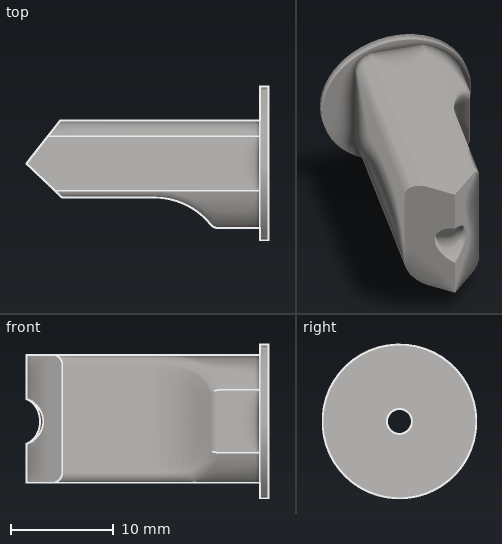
import cadquery as cq
import math

length = 23.6
flange_diameter = 15.0
flange_thickness = 0.85
body_length = length - flange_thickness
body_radius = 7.0

top_z = 6.5
bottom_z = -6.0
back_y = 4.2
front_y = -6.3
back_corner_radius = 2.0

back_slope_length = 3.3
front_slope_length = 3.5

blade_front_y = -3.33
scoop_start_x = 12.48
scoop_radius = 7.0
rim_radius = 1.0

bore_diameter = 2.4
mouth_diameter = 4.37
mouth_depth = 2.6


def make_body():
    """Round bar with four flats and two rounded back corners."""
    height = top_z - bottom_z
    block = cq.Workplane("XY").box(body_length, back_y - front_y, height, centered=False)
    block = block.translate((0, front_y, bottom_z))
    block = block.edges("|X and >Y and <Z").fillet(back_corner_radius)
    bar = cq.Workplane("YZ").circle(body_radius).extrude(body_length)
    body = block.intersect(bar)
    corner_z = math.sqrt(body_radius**2 - back_y**2)
    top_back_corner = cq.selectors.NearestToPointSelector((body_length / 2, back_y, corner_z))
    return body.edges("|X").edges(top_back_corner).fillet(back_corner_radius)


def scoop_cutter():
    """Region in front of the blade, ended by an arc tangent to the blade face."""
    drop = blade_front_y - front_y
    scoop_angle = math.acos(1 - drop / scoop_radius)
    scoop_end_x = scoop_start_x + scoop_radius * math.sin(scoop_angle)
    half_angle = scoop_angle / 2
    arc_middle = (
        scoop_start_x + scoop_radius * math.sin(half_angle),
        blade_front_y - scoop_radius * (1 - math.cos(half_angle)),
    )
    return (
        cq.Workplane("XY", origin=(0, 0, -body_radius))
        .moveTo(0, blade_front_y)
        .lineTo(scoop_start_x, blade_front_y)
        .threePointArc(arc_middle, (scoop_end_x, front_y))
        .lineTo(0, front_y)
        .close()
        .extrude(2 * body_radius)
    )


def round_scoop_rim(body):
    """Round the edges bordering the blade face and the end of the scoop."""
    blade_face = cq.selectors.NearestToPointSelector((scoop_start_x / 2, blade_front_y, 0))
    blade_sides = body.faces(blade_face).edges("|X")
    scoop_end = body.faces("<Y").edges("<X")
    scoop_sides = body.edges("%BSPLINE")
    rim = blade_sides.vals() + scoop_end.vals() + scoop_sides.vals()
    return body.newObject(rim).fillet(rim_radius)


def tip_envelope():
    """Pointed plan outline that trims the blade tip."""
    return (
        cq.Workplane("XY", origin=(0, 0, -body_radius))
        .polyline(
            [
                (0, 0),
                (back_slope_length, back_y),
                (body_length, back_y),
                (body_length, front_y),
                (front_slope_length * front_y / blade_front_y, front_y),
                (front_slope_length, blade_front_y),
            ]
        )
        .close()
        .extrude(2 * body_radius)
    )


def passage_cutter():
    """Through bore joined to the conical mouth."""
    return (
        cq.Workplane("XY")
        .polyline(
            [
                (0, 0),
                (0, mouth_diameter / 2),
                (mouth_depth, bore_diameter / 2),
                (length, bore_diameter / 2),
                (length, 0),
            ]
        )
        .close()
        .revolve(360, (0, 0, 0), (1, 0, 0))
    )


body = round_scoop_rim(make_body().cut(scoop_cutter()))
body = body.intersect(tip_envelope())
flange = cq.Workplane("YZ", origin=(body_length, 0, 0)).circle(flange_diameter / 2).extrude(flange_thickness)
result = body.union(flange).cut(passage_cutter())